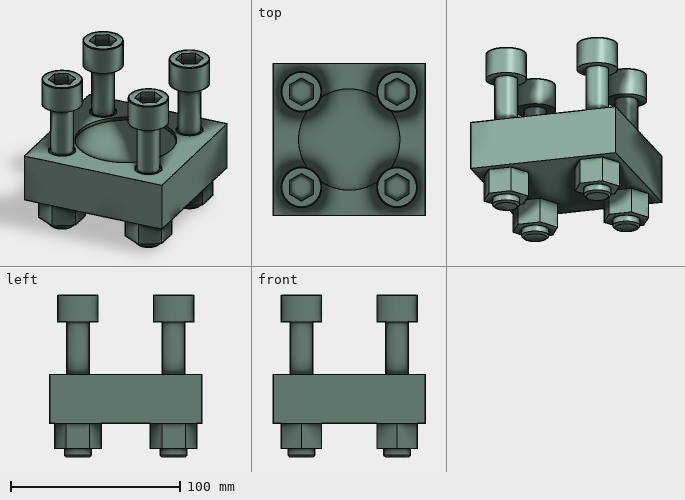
import cadquery as cq
import math

plate_side = 90.0
plate_thickness = 29.0
recess_diameter = 60.0
recess_depth = 2.0

bolt_circle_diameter = 80.0
bolt_offset = bolt_circle_diameter / 2 / math.sqrt(2)
bolt_positions = [(sx * bolt_offset, sy * bolt_offset) for sx in (-1, 1) for sy in (-1, 1)]

head_diameter = 24
head_height = 16.0
head_chamfer = 0.5
socket_across_flats = 14.0
socket_depth = 8.1
shank_diameter = 13.5
shank_exposed_length = 31.0
thread_diameter = 16.0
thread_chamfer = (thread_diameter - shank_diameter) / 2

nut_across_flats = 24
nut_height = 15.0
thread_protrusion = 5.0

plate_top = plate_thickness
head_bottom = plate_top + shank_exposed_length
head_top = head_bottom + head_height
nut_bottom = -nut_height
bolt_bottom = nut_bottom - thread_protrusion


def disc(diameter, bottom, top):
    """Upright cylinder on the Z axis between two levels."""
    return cq.Workplane("XY").workplane(offset=bottom).circle(diameter / 2).extrude(top - bottom)


def hex_prism(across_flats, bottom, top):
    """Upright hexagonal prism with one pair of flats facing +X and -X."""
    across_corners = across_flats / math.cos(math.pi / 6)
    prism = cq.Workplane("XY").polygon(6, across_corners).extrude(top - bottom)
    return prism.rotate((0, 0, 0), (0, 0, 1), 90).translate((0, 0, bottom))


def make_plate():
    """Square plate with a shallow round recess and bolt holes opening at the top."""
    plate = cq.Workplane("XY").rect(plate_side, plate_side).extrude(plate_thickness)
    plate = plate.cut(disc(recess_diameter, plate_top - recess_depth, plate_top))
    bolt_hole = disc(thread_diameter, 0, plate_top)
    for x, y in bolt_positions:
        plate = plate.cut(bolt_hole.translate((x, y, 0)))
    return plate


def make_bolt_with_nut():
    """Socket-head bolt on the Z axis, with its nut under the plate."""
    thread = disc(thread_diameter, bolt_bottom, plate_top).edges().chamfer(thread_chamfer)
    shank = disc(shank_diameter, plate_top, head_bottom)
    head = disc(head_diameter, head_bottom, head_top).faces(">Z").edges().chamfer(head_chamfer)
    head = head.cut(hex_prism(socket_across_flats, head_top - socket_depth, head_top))
    nut = hex_prism(nut_across_flats, nut_bottom, 0)
    return thread.union(shank).union(head).union(nut)


result = make_plate()
bolt_with_nut = make_bolt_with_nut()
for x, y in bolt_positions:
    result = result.union(bolt_with_nut.translate((x, y, 0)))